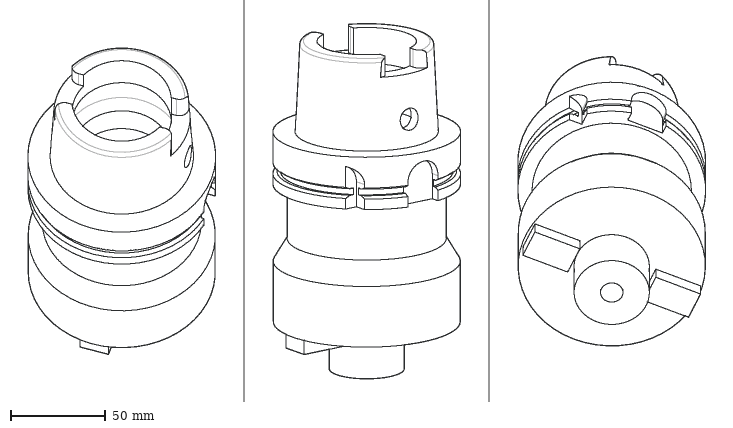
import cadquery as cq
TOTAL_LENGTH = 181.0

SHANK_LENGTH = 50.0
SHANK_BASE_DIA = 76.2
TAPER = 0.1
SHANK_TOP_ROUND = 2.0

FLANGE_DIA = 100.0
FLANGE_HEIGHT = 29.0
GROOVE_FLOOR_DIA = 92.0
GROOVE_MOUTH_DIA = 95.5
GROOVE_TOP = -18.3
GROOVE_BOTTOM = -21.9
GROOVE_LIP = 1.3

NECK_DIA = 84.7
NECK_BOTTOM = -59.0
BODY_DIA = 99.5
BODY_TOP = -71.5
BODY_BOTTOM = -105.0
PILOT_DIA = 40.0
PILOT_BOTTOM = SHANK_LENGTH - TOTAL_LENGTH

MAIN_BORE_DIA = 52.9
CHAMBER_TOP_DEPTH = 20.0
CHAMBER_DIA = 63.0
CHAMBER_BOTTOM = 4.5
CHAMBER_CORNER_RADIUS = (CHAMBER_DIA - MAIN_BORE_DIA) / 2
BORE_FLOOR = -11.5
COOLANT_SEAT_DIA = 24.0
COOLANT_SEAT_DEPTH = 14.5
COOLANT_HOLE_DIA = 12.0

RADIAL_HOLE_DIA = 12.0
RADIAL_HOLE_Z = 15.2

KEYWAY_WIDTH = 20.1
KEYWAY_CORNER_RADIUS = 5.0
KEYWAY_SHOULDER_X = 32.4
SHALLOW_KEYWAY_DEPTH = 10.0
DEEP_KEYWAY_DEPTH = 14.8

SLOT_WIDTH = 20.1
SLOT_TOP = -5.0
SLOT_FLOOR_X = 44.0
NOTCH_FLOOR_X = 31.7
NOTCH_CENTER_Y = 41.5

KEY_WIDTH = 16.0
KEY_HEIGHT = 8.1
KEY_INNER_Y = 22.0
KEY_OUTER_Y = 48.1


def cylinder(diameter, bottom, top):
    return cq.Workplane("XY").workplane(offset=bottom).circle(diameter / 2).extrude(top - bottom)


def turned_body():
    shank_top_dia = SHANK_BASE_DIA - TAPER * SHANK_LENGTH
    diameters_and_heights = [
        (0, SHANK_LENGTH),
        (shank_top_dia, SHANK_LENGTH),
        (SHANK_BASE_DIA, 0),
        (FLANGE_DIA, 0),
        (FLANGE_DIA, GROOVE_TOP + GROOVE_LIP),
        (GROOVE_MOUTH_DIA, GROOVE_TOP),
        (GROOVE_FLOOR_DIA, GROOVE_TOP),
        (GROOVE_FLOOR_DIA, GROOVE_BOTTOM),
        (GROOVE_MOUTH_DIA, GROOVE_BOTTOM),
        (FLANGE_DIA, GROOVE_BOTTOM - GROOVE_LIP),
        (FLANGE_DIA, -FLANGE_HEIGHT),
        (NECK_DIA, -FLANGE_HEIGHT),
        (NECK_DIA, NECK_BOTTOM),
        (BODY_DIA, BODY_TOP),
        (BODY_DIA, BODY_BOTTOM),
        (PILOT_DIA, BODY_BOTTOM),
        (PILOT_DIA, PILOT_BOTTOM),
        (0, PILOT_BOTTOM),
    ]
    outline = [(diameter / 2, height) for diameter, height in diameters_and_heights]
    body = cq.Workplane("XZ").polyline(outline).close().revolve(360, (0, 0), (0, 1))
    return body.faces(">Z").edges().fillet(SHANK_TOP_ROUND)


def axial_bores():
    main_bore = cylinder(MAIN_BORE_DIA, BORE_FLOOR, SHANK_LENGTH)
    chamber = cylinder(CHAMBER_DIA, CHAMBER_BOTTOM, SHANK_LENGTH - CHAMBER_TOP_DEPTH)
    chamber = chamber.faces("<Z").edges().fillet(CHAMBER_CORNER_RADIUS)
    seat = cylinder(COOLANT_SEAT_DIA, BORE_FLOOR - COOLANT_SEAT_DEPTH, BORE_FLOOR)
    hole = cylinder(COOLANT_HOLE_DIA, PILOT_BOTTOM, BORE_FLOOR)
    return main_bore.union(chamber).union(seat).union(hole)


def radial_hole():
    return (
        cq.Workplane("YZ")
        .center(0, RADIAL_HOLE_Z)
        .circle(RADIAL_HOLE_DIA / 2)
        .extrude(SHANK_BASE_DIA, both=True)
    )


def keyway(side, depth):
    """T-shaped keyway in the shank's end, flattening the prongs beside it to rounded shoulders."""
    bottom = SHANK_LENGTH - depth
    rim_x = SHANK_BASE_DIA / 2
    slot = (
        cq.Workplane("XY")
        .workplane(offset=bottom)
        .center(side * rim_x / 2, 0)
        .rect(rim_x, KEYWAY_WIDTH)
        .extrude(depth)
    )
    flat_width = rim_x - KEYWAY_SHOULDER_X
    flat = (
        cq.Workplane("XY")
        .workplane(offset=bottom)
        .center(side * (KEYWAY_SHOULDER_X + flat_width / 2), 0)
        .rect(flat_width, SHANK_BASE_DIA)
        .extrude(depth)
    )
    shoulder_edges = cq.selectors.BoxSelector(
        (side * (KEYWAY_SHOULDER_X - KEYWAY_CORNER_RADIUS), -KEYWAY_WIDTH, bottom),
        (side * (KEYWAY_SHOULDER_X + KEYWAY_CORNER_RADIUS), KEYWAY_WIDTH, SHANK_LENGTH),
    )
    return slot.union(flat).edges("|Z").edges(shoulder_edges).fillet(KEYWAY_CORNER_RADIUS)


def flange_slot(side, floor_x, center_y):
    """Slot with a rounded top, open at the flange's rim and lower face."""
    radius = SLOT_WIDTH / 2
    arc_center_z = SLOT_TOP - radius
    return (
        cq.Workplane("YZ")
        .workplane(offset=side * floor_x)
        .moveTo(center_y - radius, -FLANGE_HEIGHT)
        .lineTo(center_y - radius, arc_center_z)
        .threePointArc((center_y, SLOT_TOP), (center_y + radius, arc_center_z))
        .lineTo(center_y + radius, -FLANGE_HEIGHT)
        .close()
        .extrude(side * (FLANGE_DIA / 2 - floor_x))
    )


def driving_key(side):
    length = KEY_OUTER_Y - KEY_INNER_Y
    return (
        cq.Workplane("XY")
        .workplane(offset=BODY_BOTTOM - KEY_HEIGHT)
        .center(0, side * (KEY_INNER_Y + length / 2))
        .rect(KEY_WIDTH, length)
        .extrude(KEY_HEIGHT)
    )


result = turned_body()
for side in (-1, 1):
    result = result.union(driving_key(side))
    result = result.cut(flange_slot(side, SLOT_FLOOR_X, 0))
result = result.cut(flange_slot(-1, NOTCH_FLOOR_X, NOTCH_CENTER_Y))
result = result.cut(keyway(-1, SHALLOW_KEYWAY_DEPTH)).cut(keyway(1, DEEP_KEYWAY_DEPTH))
result = result.cut(axial_bores()).cut(radial_hole())